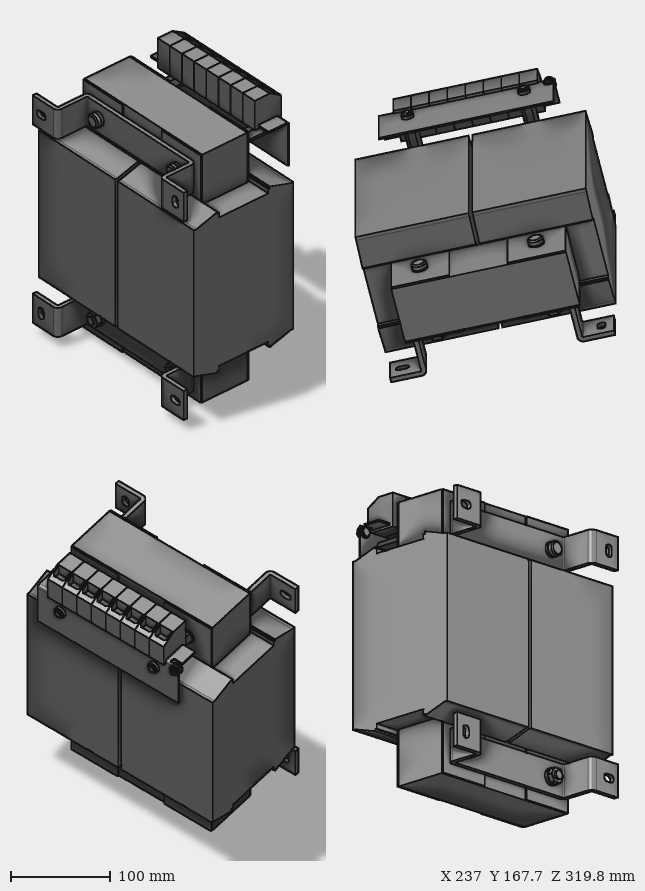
import cadquery as cq
import math


core_width = 179.7
core_height = 300.0
core_depth = 60.0
limb_width = core_width / 3
cheek_depth = 64.0
cheek_inset = 0.3
gap_spacer_height = 4.8
gap_spacer_depth = 58.2

coils_width = 237.0
coils_depth = 131.7
coil_gap = 3.8
coil_shoulder_height = 177.8
coil_ridge_height = 194.7
coil_outer_lip = 3.5
coil_ridge_depth = 69.0
coil_ledge_drop = 2.2
notch_depth = 65.2
notch_floor_height = 179.7

bracket_thickness = 5.0
bracket_height = 35.2
bracket_half_span = 115.0
bracket_web_half_width = 82.8
bracket_back_y = -cheek_depth / 2
bracket_front_y = bracket_back_y - bracket_thickness
foot_face_y = -76.7
bend_radius = 6.0
inner_bend_radius = bend_radius - bracket_thickness
foot_slot_x = 102.3
foot_slot_length = 13.5
foot_slot_width = 8.3

bolt_x = limb_width
lower_bolt_z = limb_width / 2
upper_bolt_z = core_height - lower_bolt_z
washer_radius = 8.0
front_washer_thickness = 3.2
back_washer_thickness = 1.3
head_radius = 7.7
head_height = 5.8
head_chamfer = 1.5
nut_washer_radius = 9.0
nut_width = 14.7
nut_height = 5.8
thread_radius = 4.5
thread_height = 8.3

rail_width = core_width
rail_thickness = 2.0
rail_back_y = 85.5
rail_front_y = 58.0
rail_bottom_z = 235.7
rail_top_z = 288.5
rail_bend_radius = 3.2
rail_notch_width = 11.0
rail_notch_front_y = 78.5
standoff_across_flats = 12.8
rail_washer_radius = 6.0
rail_washer_reach = 3.2
rail_screw_radius = 4.8
rail_screw_chamfer = 1.3
part_back_y = 91.0

earth_x = -85.7
earth_z = 281.5
earth_head_radius = 3.8
earth_head_height = 3.5
earth_washer_radius = 6.0
earth_washer_thickness = 1.0
earth_shank_radius = 2.2
earth_nut_radius = 4.8
earth_nut_height = 2.0
earth_nut_back_y = 80.5

terminal_count = 8
terminal_pitch = 18.5
terminal_clearance = 0.3
terminal_back_y = 88.5
terminal_front_y = 53.5
terminal_bottom_z = 284.0
terminal_top_z = 319.8
terminal_slope_depth = 15.5
terminal_slope_drop = 9.0
pocket_width = 14.7
pocket_depth = 10.2
pocket_floor_z = 307.0
pocket_corner_radius = 2.5


def block(x_range, y_range, z_range):
    """Box between two limits on each axis."""
    sizes = [high - low for low, high in (x_range, y_range, z_range)]
    corner = (x_range[0], y_range[0], z_range[0])
    return cq.Workplane("XY").box(*sizes, centered=False).translate(corner)


def facing_front(x, y, z):
    """Workplane at a point, with its normal along -Y."""
    return cq.Workplane("XZ", origin=(x, y, z))


def facing_back(x, y, z):
    """Workplane at a point, with its normal along +Y."""
    return cq.Workplane("XZ", origin=(x, y, z)).transformed(rotate=(180, 0, 0))


def make_core():
    half_width = core_width / 2
    half_window = limb_width / 2
    core = cq.Workplane("XY").box(core_width, core_depth, core_height, centered=(True, True, False))
    window_height = core_height - 2 * limb_width
    window = cq.Workplane("XY").box(limb_width, core_depth, window_height, centered=(True, True, False))
    core = core.cut(window.translate((0, 0, limb_width)))
    cheek_end = half_width - cheek_inset
    for yoke_bottom in (0, core_height - limb_width):
        z_range = (yoke_bottom + cheek_inset, yoke_bottom + limb_width - cheek_inset)
        for x_range in ((-cheek_end, -half_window), (half_window, cheek_end)):
            core = core.union(block(x_range, (-cheek_depth / 2, cheek_depth / 2), z_range))
    spacer_top = core_height - limb_width
    spacer = block(
        (-half_window, half_window),
        (-gap_spacer_depth / 2, gap_spacer_depth / 2),
        (spacer_top - gap_spacer_height, spacer_top),
    )
    return core.union(spacer)


def make_coils():
    """Two coils with sloping ends, notched where the yokes cross them."""
    ledge_height = coil_ridge_height / 2 - coil_ledge_drop
    upper_outline = [
        (coils_depth / 2, coil_shoulder_height / 2),
        (coils_depth / 2 - coil_outer_lip, coil_shoulder_height / 2),
        (coil_ridge_depth / 2, coil_ridge_height / 2),
        (coil_ridge_depth / 2, ledge_height),
        (notch_depth / 2, ledge_height),
        (notch_depth / 2, notch_floor_height / 2),
    ]
    upper_outline += [(-y, z) for y, z in reversed(upper_outline)]
    lower_outline = [(y, -z) for y, z in reversed(upper_outline)]
    both = (
        cq.Workplane("YZ", origin=(0, 0, core_height / 2))
        .polyline(upper_outline + lower_outline)
        .close()
        .extrude(coils_width / 2, both=True)
    )
    gap = cq.Workplane("XY").box(coil_gap, coils_depth, 2 * core_height)
    return both.cut(gap)


def make_bracket(center_z, left_slot_angle):
    """Hat-shaped strap with one upright and one level slot in its feet."""
    web = bracket_web_half_width
    inner_web = web - bracket_thickness
    foot_back_y = foot_face_y + bracket_thickness
    strap = block((-web, web), (foot_face_y, bracket_back_y), (0, bracket_height))
    strap = strap.cut(block((-inner_web, inner_web), (foot_face_y, bracket_front_y), (0, bracket_height)))
    for x_range in ((-bracket_half_span, -inner_web), (inner_web, bracket_half_span)):
        strap = strap.union(block(x_range, (foot_face_y, foot_back_y), (0, bracket_height)))

    def bend_edges(x, y):
        reach = inner_bend_radius
        low = (x - reach, y - reach, 0)
        high = (x + reach, y + reach, bracket_height)
        return cq.selectors.BoxSelector(low, high)

    for side in (-1, 1):
        strap = strap.edges(bend_edges(side * web, bracket_back_y)).fillet(bend_radius)
        strap = strap.edges(bend_edges(side * inner_web, bracket_front_y)).fillet(inner_bend_radius)
        strap = strap.edges(bend_edges(side * inner_web, foot_face_y)).fillet(bend_radius)
        strap = strap.edges(bend_edges(side * web, foot_back_y)).fillet(inner_bend_radius)
    strap = strap.translate((0, 0, center_z - bracket_height / 2))

    for x, angle in ((-foot_slot_x, left_slot_angle), (foot_slot_x, 90 - left_slot_angle)):
        slot = facing_front(x, foot_back_y, center_z).slot2D(foot_slot_length, foot_slot_width, angle)
        strap = strap.cut(slot.extrude(bracket_thickness))
    return strap


def seat_end(seat):
    """Selector for the face farthest out along a seat's normal."""
    return ">Y" if seat.plane.zDir.y > 0 else "<Y"


def make_bolt_head(seat, washer_thickness):
    """Washer and round chamfered head standing on a seat workplane."""
    washer = seat.circle(washer_radius).extrude(washer_thickness)
    head = seat.workplane(offset=washer_thickness).circle(head_radius).extrude(head_height)
    return washer.union(head.faces(seat_end(seat)).chamfer(head_chamfer))


def make_nut(seat):
    """Washer, hexagonal nut and thread end standing on a seat workplane."""
    washer = seat.circle(nut_washer_radius).extrude(front_washer_thickness)
    corner_diameter = nut_width / math.cos(math.pi / 6)
    nut = seat.polygon(6, corner_diameter).extrude(front_washer_thickness + nut_height)
    thread = seat.circle(thread_radius).extrude(front_washer_thickness + thread_height)
    return washer.union(nut).union(thread)


def make_standoff(x):
    """Hexagonal pillar behind the upper yoke, with the screw that holds the rail."""
    seat = facing_back(x, cheek_depth / 2, upper_bolt_z)
    washer = seat.circle(washer_radius).extrude(back_washer_thickness)
    corner_diameter = standoff_across_flats / math.cos(math.pi / 6)
    pillar = seat.polygon(6, corner_diameter).extrude(rail_back_y - cheek_depth / 2)
    rail_seat = facing_back(x, rail_back_y, upper_bolt_z)
    rail_washer = rail_seat.circle(rail_washer_radius).extrude(rail_washer_reach, both=True)
    screw = rail_seat.circle(rail_screw_radius).extrude(part_back_y - rail_back_y)
    screw = screw.faces(">Y").chamfer(rail_screw_chamfer)
    return washer.union(pillar).union(rail_washer).union(screw)


def make_rail():
    half = rail_width / 2
    rail = block((-half, half), (rail_front_y, rail_back_y), (rail_bottom_z, rail_top_z))
    inside = block(
        (-half, half),
        (rail_front_y, rail_back_y - rail_thickness),
        (rail_bottom_z, rail_top_z - rail_thickness),
    )
    rail = rail.cut(inside).edges("|X and >Y and >Z").fillet(rail_bend_radius)
    corner_notch = block(
        (-half, -half + rail_notch_width),
        (rail_notch_front_y, rail_back_y - rail_thickness),
        (rail_bottom_z, rail_top_z),
    )
    return rail.cut(corner_notch)


def make_earth_screw():
    outer = facing_back(earth_x, rail_back_y, earth_z)
    screw = outer.circle(earth_washer_radius).extrude(earth_washer_thickness)
    head = outer.circle(earth_head_radius).extrude(earth_washer_thickness + earth_head_height)
    screw = screw.union(head.faces(">Y").chamfer(rail_screw_chamfer))
    shank = facing_front(earth_x, rail_back_y, earth_z).circle(earth_shank_radius)
    screw = screw.union(shank.extrude(rail_back_y - earth_nut_back_y))
    inner = facing_front(earth_x, earth_nut_back_y, earth_z)
    screw = screw.union(inner.circle(earth_nut_radius).extrude(earth_nut_height))
    clamp_washer = facing_back(earth_x, earth_nut_back_y, earth_z).circle(earth_washer_radius)
    return screw.union(clamp_washer.extrude(earth_washer_thickness))


def make_terminal(x):
    """Terminal block with a sloping back edge and a wire pocket sunk into the slope."""
    width = terminal_pitch - terminal_clearance
    slope_front_y = terminal_back_y - terminal_slope_depth
    body = (
        cq.Workplane("YZ", origin=(x, 0, 0))
        .moveTo(terminal_front_y, terminal_bottom_z)
        .lineTo(terminal_back_y, terminal_bottom_z)
        .lineTo(terminal_back_y, terminal_top_z - terminal_slope_drop)
        .lineTo(slope_front_y, terminal_top_z)
        .lineTo(terminal_front_y, terminal_top_z)
        .close()
        .extrude(width / 2, both=True)
    )
    pocket = block(
        (x - pocket_width / 2, x + pocket_width / 2),
        (slope_front_y, slope_front_y + pocket_depth),
        (pocket_floor_z, terminal_top_z),
    )
    return body.cut(pocket.edges("|Z and >Y").fillet(pocket_corner_radius))


result = make_core().union(make_coils())
result = result.union(make_bracket(upper_bolt_z, 0))
result = result.union(make_bracket(lower_bolt_z, 90))

for side in (-1, 1):
    x = side * bolt_x
    upper_front_seat = facing_front(x, bracket_front_y, upper_bolt_z)
    lower_front_seat = facing_front(x, bracket_front_y, lower_bolt_z)
    lower_back_seat = facing_back(x, cheek_depth / 2, lower_bolt_z)
    result = result.union(make_bolt_head(upper_front_seat, front_washer_thickness))
    result = result.union(make_standoff(x))
    result = result.union(make_nut(lower_front_seat))
    result = result.union(make_bolt_head(lower_back_seat, back_washer_thickness))

result = result.union(make_rail()).union(make_earth_screw())
for index in range(terminal_count):
    result = result.union(make_terminal((index - (terminal_count - 1) / 2) * terminal_pitch))